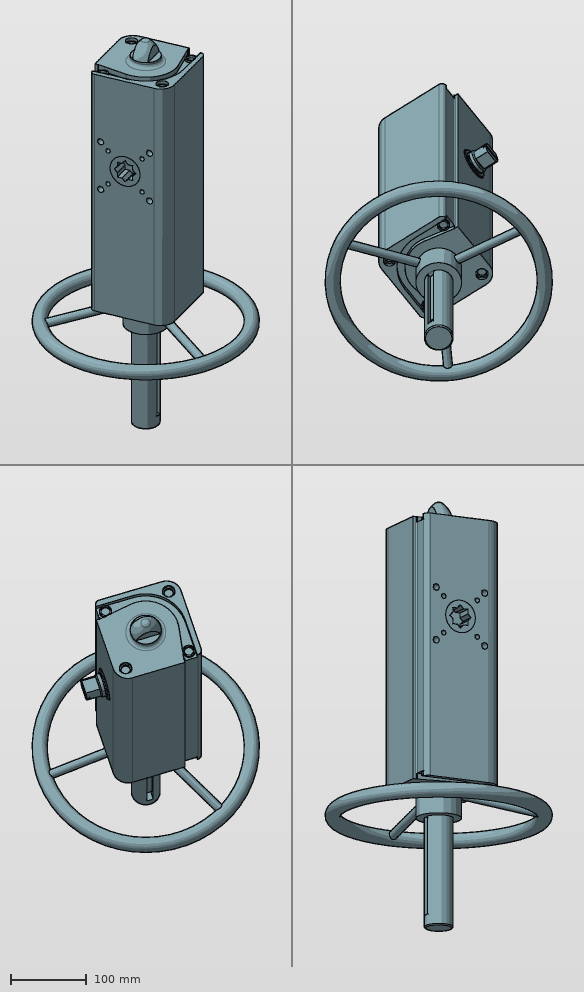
import cadquery as cq
import math


block_bottom = 188.5
block_top = 545.0
block_short = 57.0
block_long = 62.5
block_corner_radius = 20.0
step_start = 36.5
step_depth = 5.0
step_face = block_short - step_depth
step_corner_radius = 7.0
step_root_radius = 2.0

channel_depth = 7.5
channel_inner_radius = 44.5
channel_outer_radius = 55.0

screw_spacing = 87.5
screw_center = (block_long - block_short) / 2
screw_head_diameter = 16.0
screw_head_drop = 4.5
screw_socket_diameter = 12.0
screw_socket_depth = 3.5

indicator_diameter = 41.0
indicator_fillet = 6
indicator_top = 578.5
indicator_shoulder = 554.0
indicator_mid_radius = 15.9
indicator_mid_height = 564.0
indicator_tip_diameter = 12.0
indicator_tip_height = 2.5
indicator_blade = 22.5

wheel_diameter = 300.0
rim_diameter = 20.0
rim_height = 153.5
rim_radius = (wheel_diameter - rim_diameter) / 2
hub_diameter = 60.0
hub_bottom = 149.5
spoke_count = 3
spoke_diameter = 12.0
spoke_hub_height = 180.5
stem_diameter = 38.0
stem_chamfer = 2.0
stem_slot_width = 8.5
stem_slot_bottom = 16.0
stem_rod_diameter = 28.0
stem_rod_bottom = 30.5

shaft_height = 410.0
shaft_diameter = 44.0
star_square = 22.0
star_depth = 23
flange_diameter = 41.0
flange_end = 58.5
washer_diameter = 33.0
washer_end = 60.0
collar_diameter = 31.0
collar_end = 66.5
collar_chamfer = 2.0
stub_diameter = 28.0
stub_end = 85.5
stub_flats = 21.0
stub_slot_width = 3.5
stub_slot_depth = 4.0

drill_point_angle = 118
mount_hole_depth = 14.5
outer_hole_offset = 36.0
outer_hole_diameter = 8.5
inner_hole_offset = 25.0
inner_hole_diameter = 6.5


def cylinder_z(diameter, bottom, top):
    return cq.Workplane("XY").workplane(offset=bottom).circle(diameter / 2).extrude(top - bottom)


def cylinder_y(diameter, start, end):
    """Cylinder on the drive shaft axis, from Y = start to Y = end."""
    plane = cq.Plane(origin=(0, start, shaft_height), xDir=(1, 0, 0), normal=(0, 1, 0))
    return cq.Workplane(plane).circle(diameter / 2).extrude(end - start)


def housing_block():
    outline = [
        (-block_short, block_short),
        (step_start, block_short),
        (step_start, step_face),
        (block_long, step_face),
        (block_long, -block_long),
        (-step_face, -block_long),
        (-step_face, -step_start),
        (-block_short, -step_start),
    ]
    block = (
        cq.Workplane("XY").workplane(offset=block_bottom)
        .polyline(outline).close().extrude(block_top - block_bottom)
    )
    for x, y, radius in [
        (-block_short, block_short, block_corner_radius),
        (block_long, -block_long, block_corner_radius),
        (step_start, step_face, step_root_radius),
        (-step_face, -step_start, step_root_radius),
        (block_long, step_face, step_corner_radius),
        (-step_face, -block_long, step_corner_radius),
    ]:
        corner = cq.selectors.BoxSelector((x - 0.5, y - 0.5, block_bottom - 6), (x + 0.5, y + 0.5, block_top + 6))
        block = block.edges(corner).fillet(radius)
    return block


def channel(bottom):
    """Channel that wraps the Z axis and opens through both notched corners."""
    corner_distance = math.hypot(step_face, step_start)
    corner_angle = math.atan2(-step_start, -step_face)
    tangent_angle = corner_angle + math.acos(channel_inner_radius / corner_distance)
    tangent_x = channel_inner_radius * math.cos(tangent_angle)
    tangent_y = channel_inner_radius * math.sin(tangent_angle)
    inner_diagonal = channel_inner_radius / math.sqrt(2)
    outer_diagonal = channel_outer_radius / math.sqrt(2)
    return (
        cq.Workplane("XY").workplane(offset=bottom)
        .moveTo(-step_face, -step_start)
        .lineTo(tangent_x, tangent_y)
        .threePointArc((inner_diagonal, -inner_diagonal), (-tangent_y, -tangent_x))
        .lineTo(step_start, step_face)
        .lineTo(channel_outer_radius, step_face)
        .lineTo(channel_outer_radius, 0)
        .threePointArc((outer_diagonal, -outer_diagonal), (0, -channel_outer_radius))
        .lineTo(-step_face, -channel_outer_radius)
        .close().extrude(channel_depth)
    )


def screw_cylinders(diameter, bottom, top):
    """One cylinder at each of the four end face screws."""
    return (
        cq.Workplane("XY").workplane(offset=bottom)
        .center(screw_center, -screw_center)
        .rect(screw_spacing, screw_spacing, forConstruction=True).vertices()
        .circle(diameter / 2).extrude(top - bottom)
    )


def detail_end_faces(block):
    """Channels, sunk screw heads and their sockets, alike at both ends."""
    for face, inward in [(block_top, -1), (block_bottom, 1)]:
        floor = face + inward * channel_depth
        head_top = face + inward * screw_head_drop
        socket_floor = head_top + inward * screw_socket_depth
        block = block.cut(channel(min(face, floor)))
        block = block.cut(screw_cylinders(screw_head_diameter, face, head_top))
        block = block.union(screw_cylinders(screw_head_diameter, head_top, floor))
        block = block.cut(screw_cylinders(screw_socket_diameter, head_top, socket_floor))
    return block


def indicator():
    """Domed blade that flares into the top face."""
    radius = indicator_diameter / 2
    flare_radius = radius + indicator_fillet
    flare_top = block_top + indicator_fillet
    flare_inset = indicator_fillet * math.sqrt(0.5)
    tip_radius = indicator_tip_diameter / 2
    tip_edge = indicator_top - indicator_tip_height
    tip_sphere = (tip_radius**2 + indicator_tip_height**2) / (2 * indicator_tip_height)
    tip_mid_x = tip_radius / 2
    tip_mid_z = indicator_top - tip_sphere + math.sqrt(tip_sphere**2 - tip_mid_x**2)
    dome = (
        cq.Workplane("XZ")
        .moveTo(0, block_top)
        .lineTo(flare_radius, block_top)
        .threePointArc((flare_radius - flare_inset, flare_top - flare_inset), (radius, flare_top))
        .lineTo(radius, indicator_shoulder)
        .threePointArc((indicator_mid_radius, indicator_mid_height), (tip_radius, tip_edge))
        .threePointArc((tip_mid_x, tip_mid_z), (0, indicator_top))
        .close().revolve(360, (0, 0, 0), (0, 1, 0))
    )
    blade_height = indicator_top - indicator_shoulder
    for side in (-1, 1):
        clearance = cq.Workplane("XY").box(
            indicator_diameter, 2 * indicator_diameter, blade_height, centered=(True, True, False)
        )
        offset = side * (indicator_blade + indicator_diameter) / 2
        dome = dome.cut(clearance.translate((offset, 0, indicator_shoulder)))
    return dome


def handwheel_parts():
    """Hub, rim and spokes, not yet joined."""
    hub = cylinder_z(hub_diameter, hub_bottom, block_bottom).val()
    rim = cq.Solid.makeTorus(rim_radius, rim_diameter / 2, cq.Vector(0, 0, rim_height), cq.Vector(0, 0, 1))
    hub_radius = hub_diameter / 2
    slope = (spoke_hub_height - rim_height) / (rim_radius - hub_radius)
    root = cq.Vector(0, hub_radius - spoke_diameter, spoke_hub_height + slope * spoke_diameter)
    direction = cq.Vector(0, rim_radius, rim_height) - root
    spoke = cq.Solid.makeCylinder(spoke_diameter / 2, direction.Length, root, direction)
    spokes = []
    for i in range(spoke_count):
        spokes.append(spoke.rotate(cq.Vector(0, 0, 0), cq.Vector(0, 0, 1), i * 360 / spoke_count))
    return [hub, rim, *spokes]


def stem():
    """Slotted stem below the hub, with a rod showing behind the slot."""
    body = cylinder_z(stem_diameter, 0, block_bottom).faces("<Z").chamfer(stem_chamfer)
    slot = (
        cq.Workplane("XY")
        .box(stem_diameter, stem_slot_width, hub_bottom - stem_slot_bottom, centered=(True, True, False))
        .translate((0, 0, stem_slot_bottom))
    )
    rod = cylinder_z(stem_rod_diameter, stem_rod_bottom, hub_bottom)
    return body.cut(slot.cut(rod))


def mounting_holes(offset, diameter):
    """Four blind drilled holes around the drive shaft."""
    radius = diameter / 2
    point_depth = radius / math.tan(math.radians(drill_point_angle / 2))
    drill = (
        cq.Workplane("XY")
        .moveTo(0, -block_long)
        .lineTo(radius, -block_long)
        .lineTo(radius, mount_hole_depth - block_long)
        .lineTo(0, mount_hole_depth + point_depth - block_long)
        .close().revolve(360, (0, 0, 0), (0, 1, 0))
    )
    holes = cq.Workplane("XY")
    for x in (-offset, offset):
        for z in (-offset, offset):
            holes = holes.add(drill.translate((x, 0, shaft_height + z)))
    return holes.combine()


def make_housing():
    housing = detail_end_faces(housing_block())
    housing = housing.union(indicator()).union(stem())
    housing = housing.cut(cylinder_y(shaft_diameter, -block_long, block_short))
    housing = housing.cut(mounting_holes(outer_hole_offset, outer_hole_diameter))
    housing = housing.cut(mounting_holes(inner_hole_offset, inner_hole_diameter))
    return cq.Workplane(housing.val().fuse(*handwheel_parts()))


def star_bore():
    """Socket made of two squares turned 45 degrees to each other."""
    square = (
        cq.Workplane("XY").box(star_square, star_depth, star_square)
        .translate((0, star_depth / 2 - block_long, shaft_height))
    )
    turned = square.rotate((0, 0, shaft_height), (0, 1, shaft_height), 45)
    return square.union(turned)


def shaft_stub():
    """Flatted end of the shaft with a slot across its tip."""
    round_stub = cylinder_y(stub_diameter, block_short, stub_end)
    flats = cq.Workplane("XY").box(stub_diameter, 2 * stub_end, stub_flats).translate((0, 0, shaft_height))
    slot = cq.Workplane("XY").box(stub_diameter, 2 * stub_slot_depth, stub_slot_width)
    return round_stub.intersect(flats).cut(slot.translate((0, stub_end, shaft_height)))


def make_drive_shaft():
    shaft = cylinder_y(shaft_diameter, -block_long, block_short).cut(star_bore())
    shaft = shaft.union(cylinder_y(flange_diameter, block_short, flange_end))
    shaft = shaft.union(cylinder_y(washer_diameter, block_short, washer_end))
    collar = cylinder_y(collar_diameter, block_short, collar_end).faces(">Y").chamfer(collar_chamfer)
    return shaft.union(collar).union(shaft_stub())


housing = make_housing()
drive_shaft = make_drive_shaft()

result = cq.Compound.makeCompound([housing.val(), drive_shaft.val()])